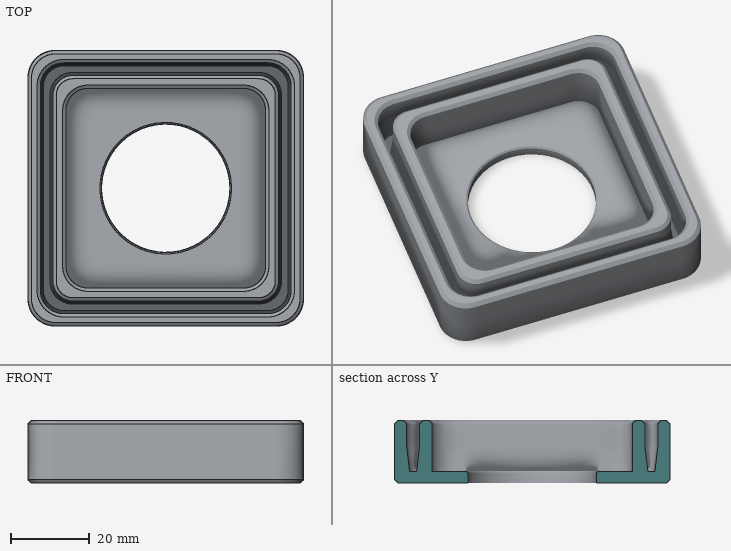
import cadquery as cq
import math

side = 69.85
height = 15.85
corner_radius = 7.0
edge_chamfer = 0.9
floor_thickness = 3.0

groove_outer_inset = 3.15
groove_outer_radius = 6.0
groove_inner_inset = 6.35
groove_inner_radius = 5.0
groove_straight_depth = 6.3
groove_lean = 0.8
groove_chamfer = 0.85

pocket_inset = 9.65
pocket_radius = 5.6
pocket_chamfer = 0.85
hole_diameter = 32.5
hole_chamfer = 0.4


def rounded_square(inset, radius, bottom, depth, taper=0.0):
    """Rounded square prism whose sides lie `inset` inside the block."""
    width = side - 2 * inset
    outline = cq.Sketch().rect(width, width).vertices().fillet(radius)
    return cq.Workplane("XY", origin=(0, 0, bottom)).placeSketch(outline).extrude(depth, taper=taper)


def mouth_flare(inset, radius, chamfer):
    """Cutter that bevels the top edge of a rounded square opening."""
    return rounded_square(inset, radius, height - chamfer, chamfer, taper=-45)


block = rounded_square(0, corner_radius, 0, height).faces("<Z or >Z").chamfer(edge_chamfer)

fold_height = height - groove_straight_depth
groove_tapered_depth = fold_height - floor_thickness
draft_angle = math.degrees(math.atan(groove_lean / groove_tapered_depth))

groove_void = rounded_square(groove_outer_inset, groove_outer_radius, fold_height, groove_straight_depth)
groove_void = groove_void.union(mouth_flare(groove_outer_inset, groove_outer_radius, groove_chamfer))
groove_void = groove_void.union(rounded_square(
    groove_outer_inset + groove_lean, groove_outer_radius - groove_lean,
    floor_thickness, groove_tapered_depth, taper=-draft_angle,
))

ring = rounded_square(groove_inner_inset, groove_inner_radius, fold_height, groove_straight_depth)
ring = ring.faces(">Z").chamfer(groove_chamfer)
ring = ring.union(rounded_square(
    groove_inner_inset - groove_lean, groove_inner_radius + groove_lean,
    floor_thickness, groove_tapered_depth, taper=draft_angle,
))
groove = groove_void.cut(ring)

pocket = rounded_square(pocket_inset, pocket_radius, floor_thickness, height - floor_thickness)
pocket = pocket.union(mouth_flare(pocket_inset, pocket_radius, pocket_chamfer))

hole = (
    cq.Workplane("XY").circle(hole_diameter / 2).extrude(floor_thickness)
    .faces(">Z").workplane(offset=-hole_chamfer)
    .circle(hole_diameter / 2).extrude(hole_chamfer, taper=-45)
)

result = block.cut(groove).cut(pocket).cut(hole)